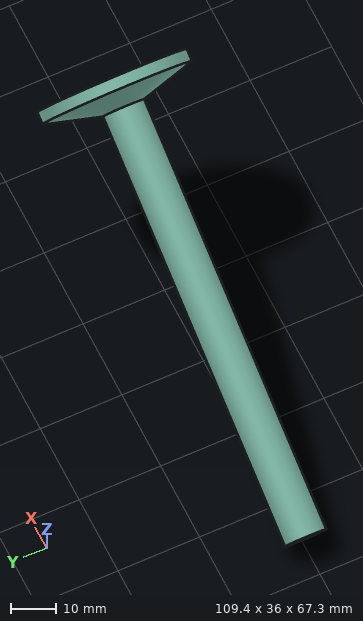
import cadquery as cq
import math

TILT_DEG = 25.0
TOTAL_LENGTH = 110.0
SHANK_DIAMETER = 10.0
HEAD_DIAMETER = 36.0
RIM_THICKNESS = 3.0
CONE_HEIGHT = 3.6

shank_radius = SHANK_DIAMETER / 2
head_radius = HEAD_DIAMETER / 2
rim_start = TOTAL_LENGTH - RIM_THICKNESS
cone_start = rim_start - CONE_HEIGHT


def tilted_plane():
    """Plane whose X direction is the pin axis and Y its radius; the shank end is at the origin."""
    tilt = math.radians(TILT_DEG)
    axis = (math.cos(tilt), 0, math.sin(tilt))
    return cq.Plane(origin=(0, 0, 0), xDir=axis, normal=(0, -1, 0))


def headed_pin():
    """Shank, conical underside and flat round head, revolved in one piece."""
    profile = (
        cq.Workplane(tilted_plane())
        .moveTo(0, 0)
        .lineTo(0, shank_radius)
        .lineTo(cone_start, shank_radius)
        .lineTo(rim_start, head_radius)
        .lineTo(TOTAL_LENGTH, head_radius)
        .lineTo(TOTAL_LENGTH, 0)
        .close()
    )
    return profile.revolve(360, (0, 0, 0), (1, 0, 0))


result = headed_pin()